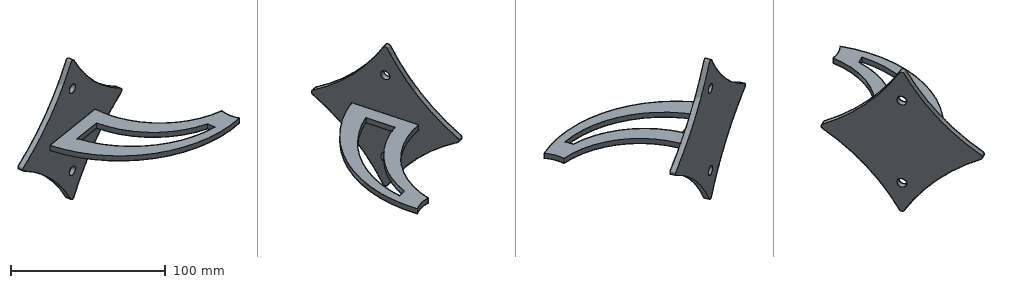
import cadquery as cq
import math

sheet_thickness = 4.0
plate_span = 110.0
overall_length = 126.2
arm_end_x = 85.9

side_radius = 143.6
tip_radius = 2.0
hole_diameter = 6.5
hole_spacing = 65.0

root_width = 50.0
end_width = 14.0
inner_radius = 65.0
outer_radius = 91.9
saddle_radius = 21.2

window_near_x = 14.0
window_near_low_y = -8.7
window_near_high_y = 12.9
window_far_y = 53.8
window_far_low_x = 73.0
window_far_high_x = 78.9
window_inner_radius = 69.4
window_outer_radius = 78.0

half_span = plate_span / 2
arm_end_y = overall_length - half_span


def make_plate():
    """Concave four-pointed plate, each side arc tangent to the two tip arcs beside it."""
    tip_center = half_span - tip_radius
    center_distance = side_radius + tip_radius
    side_center = (tip_center + math.sqrt(2 * center_distance**2 - tip_center**2)) / 2
    blend = tip_radius / center_distance
    tangent_along = tip_center + (side_center - tip_center) * blend
    tangent_across = side_center * blend
    side_middle = side_center - side_radius / math.sqrt(2)

    def turned(along, across, quarter):
        angle = quarter * math.pi / 2
        return (
            along * math.cos(angle) - across * math.sin(angle),
            along * math.sin(angle) + across * math.cos(angle),
        )

    outline = cq.Workplane("YZ").moveTo(tangent_along, -tangent_across)
    for quarter in range(4):
        outline = outline.threePointArc(
            turned(half_span, 0, quarter), turned(tangent_along, tangent_across, quarter)
        )
        outline = outline.threePointArc(
            turned(side_middle, side_middle, quarter),
            turned(tangent_along, -tangent_across, quarter + 1),
        )
    plate = outline.close().extrude(sheet_thickness)

    holes = (
        cq.Workplane("YZ")
        .pushPoints([(0, -hole_spacing / 2), (0, hole_spacing / 2)])
        .circle(hole_diameter / 2)
        .extrude(sheet_thickness)
    )
    return plate.cut(holes)


def make_arm():
    """Flat arm sweeping from the plate to a hollowed end, centred on Z = 0."""
    mid_plane = cq.Workplane("XY")
    body = (
        mid_plane.moveTo(sheet_thickness, -root_width / 2)
        .radiusArc((arm_end_x, arm_end_y), -outer_radius)
        .radiusArc((arm_end_x - end_width, arm_end_y), saddle_radius)
        .radiusArc((sheet_thickness, root_width / 2), inner_radius)
        .close()
        .extrude(sheet_thickness / 2, both=True)
    )
    window = (
        mid_plane.moveTo(window_near_x, window_near_low_y)
        .radiusArc((window_far_high_x, window_far_y), -window_outer_radius)
        .lineTo(window_far_low_x, window_far_y)
        .radiusArc((window_near_x, window_near_high_y), window_inner_radius)
        .close()
        .extrude(sheet_thickness / 2, both=True)
    )
    return body.cut(window)


result = make_plate().union(make_arm())